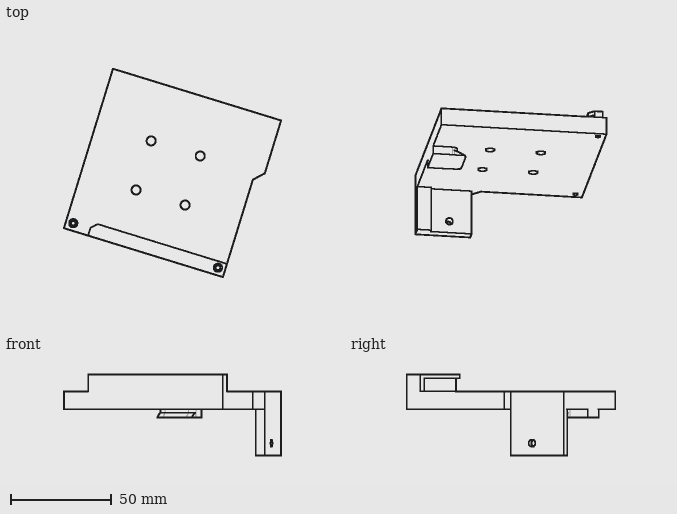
import cadquery as cq
import math

turn_angle = -17.1

plate_width = 87.2
plate_depth = 82.7
plate_thickness = 8.8
edge_step = 4.7
step_start = 55.2
cut = 0.1

wall_height = 8.5
wall_start = 12.6
wall_depth = 4.1
lip_depth = 6.9
lip_thickness = 2.0
end_block_length = 7.5
lip_chamfer = lip_depth - wall_depth

flange_drop = 22.9
flange_thickness = 4.8
leg_thickness = 6.7
leg_length = 7.0
flange_hole_diameter = 3.4
flange_hole_depth = 66.3
flange_hole_drop = 16.8

foot_left = 27.7
foot_width = 18.3
foot_front = 70.1
foot_height = 4.1
foot_radius = 3.1
nose_start = 1.6
nose_reach = 4.0
nose_side_inset = 0.16

plate_hole_diameter = 4.4
plate_hole_pitch = 25.4
plate_hole_first = 28.6
screw_hole_diameter = 2.3
counterbore_diameter = 4.2
counterbore_depth = 4.3
screw_inset = 3.8

front_width = plate_width - edge_step
wall_top = plate_thickness + wall_height


def block(x0, x1, y0, y1, z0, z1):
    """Rectangular block between two opposite corners."""
    return cq.Workplane("XY").box(x1 - x0, y1 - y0, z1 - z0, centered=False).translate((x0, y0, z0))


def make_plate():
    outline = [
        (0, 0),
        (front_width, 0),
        (front_width, step_start - edge_step),
        (plate_width, step_start),
        (plate_width, plate_depth),
        (0, plate_depth),
    ]
    return cq.Workplane("XY").polyline(outline).close().extrude(plate_thickness)


def make_front_wall():
    wall = block(wall_start, front_width, 0, wall_depth, 0, wall_top)
    lip = block(wall_start, front_width, 0, lip_depth, wall_top - lip_thickness, wall_top)
    lip = lip.edges("|Z and <X and >Y").chamfer(lip_chamfer)
    end_block = block(front_width - end_block_length, front_width, 0, lip_depth, 0, wall_top)
    return wall.union(lip).union(end_block)


def make_flange():
    panel = block(plate_width - flange_thickness, plate_width, step_start, plate_depth, -flange_drop, 0)
    leg = block(
        plate_width - leg_thickness, plate_width, plate_depth - leg_length, plate_depth, -flange_drop, 0
    )
    hole = (
        cq.Workplane("YZ", origin=(plate_width + cut, flange_hole_depth, -flange_hole_drop))
        .circle(flange_hole_diameter / 2)
        .extrude(-(flange_thickness + 2 * cut))
    )
    return panel.union(leg).cut(hole)


def make_foot():
    foot_right = foot_left + foot_width
    body = block(foot_left, foot_right, foot_front, plate_depth, -foot_height, 0)
    body = body.edges("|Z and <Y").fillet(foot_radius)

    nose_height = foot_height - nose_start
    flare_angle = math.degrees(math.atan2(nose_reach, nose_height))
    outline = body.faces(">Z").wires().val().moved(cq.Location(cq.Vector(0, 0, -nose_start)))
    nose = cq.Workplane("XY", origin=(0, 0, -nose_start)).add(outline).toPending()
    nose = nose.extrude(-nose_height, taper=-flare_angle)
    trim = block(
        foot_left + nose_side_inset,
        foot_right - nose_side_inset,
        foot_front - nose_reach - cut,
        foot_front + foot_radius,
        -foot_height,
        0,
    )
    return body.union(nose.intersect(trim))


def cut_plate_holes(part):
    positions = [
        (plate_hole_first + column * plate_hole_pitch, plate_hole_first + row * plate_hole_pitch)
        for column in range(2)
        for row in range(2)
    ]
    holes = cq.Workplane("XY").pushPoints(positions).circle(plate_hole_diameter / 2).extrude(plate_thickness)
    return part.cut(holes)


def cut_screw_hole(part, x, top):
    """Counterbored through hole at the front edge, entered from the given height."""
    hole = cq.Workplane("XY").center(x, screw_inset).circle(screw_hole_diameter / 2).extrude(top)
    counterbore = (
        cq.Workplane("XY", origin=(x, screw_inset, top))
        .circle(counterbore_diameter / 2)
        .extrude(-counterbore_depth)
    )
    return part.cut(hole).cut(counterbore)


part = make_plate().union(make_front_wall()).union(make_flange()).union(make_foot())
part = cut_plate_holes(part)
part = cut_screw_hole(part, screw_inset, plate_thickness)
part = cut_screw_hole(part, front_width - screw_inset, wall_top)

result = part.rotate((0, 0, 0), (0, 0, 1), turn_angle)